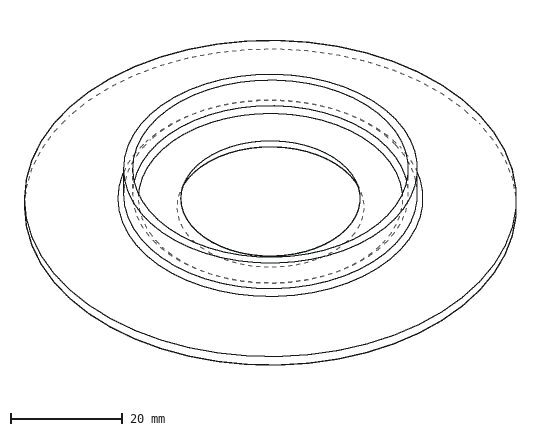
import cadquery as cq

disc_diameter = 88.0
disc_thickness = 2.0
bore_top_diameter = 32.0
bore_flare = 0.7
bore_bottom_diameter = bore_top_diameter + 2 * bore_flare

overall_height = 9.0
ring_outer_diameter = 52.5
ring_inner_diameter = 49.3

foot_outer_diameter = 54.6
foot_inner_diameter = 47.3
foot_height = 1.0


def revolved(section_points):
    """Solid of revolution about Z from (radius, height) corner points."""
    section = cq.Workplane("XZ").polyline(section_points).close()
    return section.revolve(360, (0, 0, 0), (0, 1, 0))


def make_disc():
    """Disc resting on the XY plane, pierced by the conical bore."""
    disc_radius = disc_diameter / 2
    return revolved([
        (bore_bottom_diameter / 2, 0),
        (disc_radius, 0),
        (disc_radius, disc_thickness),
        (bore_top_diameter / 2, disc_thickness),
    ])


def make_ring():
    """Ring standing on the disc, with its bevelled foot."""
    inner_radius = ring_inner_diameter / 2
    outer_radius = ring_outer_diameter / 2
    foot_top = disc_thickness + foot_height
    return revolved([
        (foot_inner_diameter / 2, disc_thickness),
        (inner_radius, foot_top),
        (inner_radius, overall_height),
        (outer_radius, overall_height),
        (outer_radius, foot_top),
        (foot_outer_diameter / 2, disc_thickness),
    ])


result = make_disc().union(make_ring())